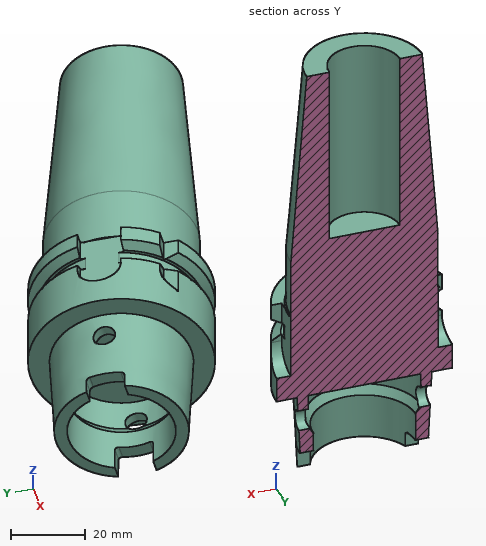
import cadquery as cq
import math

total_height = 125.0
flange_bottom = 25.0
flange_top = 51.0
cone_bottom = 68.0

shank_root_radius = 19.25
shank_taper = 1 / 20
shank_tip_radius = shank_root_radius - shank_taper * flange_bottom
shank_mouth_radius = 14.5
shank_bore_radius = 16.0
shank_bore_depth = flange_bottom
shoulder_top = 15.6
shoulder_angle = 30.0
shoulder_height = (shank_bore_radius - shank_mouth_radius) / math.tan(math.radians(shoulder_angle))

flange_radius = 25.0
groove_root_radius = 21.5
groove_root_width = 3.75
groove_root_bottom = 41.25
groove_root_top = groove_root_bottom + groove_root_width
groove_flank_height = 1.5
groove_flank_angle = 60.0
groove_step_radius = flange_radius - groove_flank_height * math.tan(math.radians(groove_flank_angle))

body_radius = 21.0
body_tip_radius = 16.5
body_root_chamfer = 0.4
tool_bore_radius = 10.0
tool_bore_depth = 52.0

keyway_floor = 21.0
keyway_bottom = 32.4
narrow_keyway_width = 12.0
wide_keyway_width = 14.0

notch_offset = 15.5
notch_end_radius = 5.7
notch_end_center = 38.0

drive_slot_width = 10.5
drive_slot_corner_radius = 1.0
short_drive_slot_height = 4.6
tall_drive_slot_height = 7.5

cross_hole_diameter = 6.0
cross_hole_height = 17.8


def revolve_profile(points):
    """Solid of revolution about Z from (radius, height) points."""
    return cq.Workplane("XZ").polyline(points).close().revolve(360, (0, 0), (0, 1))


def make_turned_body():
    """Turned outside of the shank, flange and chuck body."""
    profile = [
        (0, 0),
        (shank_tip_radius, 0),
        (shank_root_radius, flange_bottom),
        (flange_radius, flange_bottom),
        (flange_radius, groove_root_bottom - groove_flank_height),
        (groove_step_radius, groove_root_bottom),
        (groove_root_radius, groove_root_bottom),
        (groove_root_radius, groove_root_top),
        (groove_step_radius, groove_root_top),
        (flange_radius, groove_root_top + groove_flank_height),
        (flange_radius, flange_top),
        (body_radius + body_root_chamfer, flange_top),
        (body_radius, flange_top + body_root_chamfer),
        (body_radius, cone_bottom),
        (body_tip_radius, total_height),
        (0, total_height),
    ]
    return revolve_profile(profile)


def make_bores():
    """Blind tool bore from the top and blind, undercut bore of the hollow shank."""
    tool_bore = (
        cq.Workplane("XY")
        .workplane(offset=total_height - tool_bore_depth)
        .circle(tool_bore_radius)
        .extrude(tool_bore_depth)
    )
    shank_profile = [
        (0, 0),
        (shank_mouth_radius, 0),
        (shank_mouth_radius, shoulder_top - shoulder_height),
        (shank_bore_radius, shoulder_top),
        (shank_bore_radius, shank_bore_depth),
        (0, shank_bore_depth),
    ]
    shank_bore = revolve_profile(shank_profile)
    return tool_bore.union(shank_bore)


def make_keyway(side, width):
    """Keyway cutter with a flat floor, open at the flange top; side is -1 or +1 along X."""
    radius = width / 2
    end_center = keyway_bottom + radius
    return (
        cq.Workplane("YZ")
        .workplane(offset=side * keyway_floor)
        .moveTo(-radius, flange_top)
        .lineTo(-radius, end_center)
        .threePointArc((0, keyway_bottom), (radius, end_center))
        .lineTo(radius, flange_top)
        .close()
        .extrude(side * (flange_radius - keyway_floor))
    )


def make_corner_notch():
    """Square-cornered notch whose lower end sweeps outward on a round."""
    arc_center_y = -notch_offset - notch_end_radius
    return (
        cq.Workplane("YZ")
        .workplane(offset=-notch_offset)
        .moveTo(-notch_offset, flange_top)
        .lineTo(-notch_offset, notch_end_center)
        .radiusArc((arc_center_y, notch_end_center - notch_end_radius), notch_end_radius)
        .lineTo(-flange_radius, notch_end_center - notch_end_radius)
        .lineTo(-flange_radius, flange_top)
        .close()
        .extrude(notch_offset - flange_radius)
    )


def make_drive_slot(side, height):
    """Drive slot cutter with rounded upper corners; side is -1 or +1 along X."""
    return (
        cq.Workplane("XY")
        .box(flange_radius, drive_slot_width, height, centered=(True, True, False))
        .edges("|X and >Z")
        .fillet(drive_slot_corner_radius)
        .translate((side * flange_radius / 2, 0, 0))
    )


def make_cross_hole():
    """Round hole along X through both walls of the shank."""
    return (
        cq.Workplane("YZ")
        .center(0, cross_hole_height)
        .circle(cross_hole_diameter / 2)
        .extrude(flange_radius, both=True)
    )


result = (
    make_turned_body()
    .cut(make_bores())
    .cut(make_keyway(-1, narrow_keyway_width))
    .cut(make_keyway(1, wide_keyway_width))
    .cut(make_corner_notch())
    .cut(make_drive_slot(-1, short_drive_slot_height))
    .cut(make_drive_slot(1, tall_drive_slot_height))
    .cut(make_cross_hole())
)